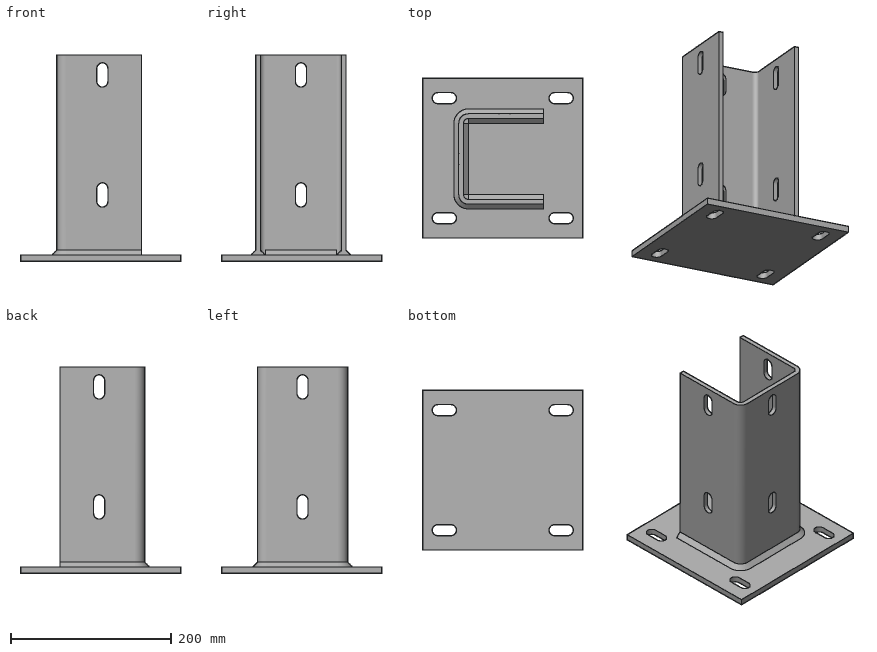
import cadquery as cq

PLATE_SIDE = 200.0
PLATE_THICKNESS = 8.0

SHEET_THICKNESS = 6.0
CHANNEL_HEIGHT = 250.0
CHANNEL_DEPTH = 106.0
CHANNEL_WIDTH = 113.0
BEND_OUTER_RADIUS = 12.0
BEND_INNER_RADIUS = BEND_OUTER_RADIUS - SHEET_THICKNESS
WEB_FACE_X = -55.0
CHANNEL_CENTER_Y = -1.0

WELD_LEG = 6.0

SLOT_LENGTH = 30.0
SLOT_WIDTH = 13.5
PLATE_SLOT_X = 73.0
PLATE_SLOT_Y = 75.0
FLANGE_SLOT_X = 2.0
WEB_SLOT_Y = CHANNEL_CENTER_Y
TOP_SLOT_DROP = 25.0
UPRIGHT_SLOT_PITCH = 150.0

FLANGE_END_X = WEB_FACE_X + CHANNEL_DEPTH
BEND_CENTER_X = WEB_FACE_X + BEND_OUTER_RADIUS
BEND_CENTER_OFFSET_Y = CHANNEL_WIDTH / 2 - BEND_OUTER_RADIUS
UPPER_SLOT_Z = PLATE_THICKNESS + CHANNEL_HEIGHT - TOP_SLOT_DROP
LOWER_SLOT_Z = UPPER_SLOT_Z - UPRIGHT_SLOT_PITCH


def make_plate():
    plate = cq.Workplane("XY").box(
        PLATE_SIDE, PLATE_SIDE, PLATE_THICKNESS, centered=(True, True, False)
    )
    slots = (
        cq.Workplane("XY")
        .rect(2 * PLATE_SLOT_X, 2 * PLATE_SLOT_Y, forConstruction=True)
        .vertices()
        .slot2D(SLOT_LENGTH, SLOT_WIDTH)
        .extrude(PLATE_THICKNESS)
    )
    return plate.cut(slots)


def make_block(inset, corner_radius):
    """Upright block inset from the channel's outer faces, rounded along its two web corners."""
    depth = CHANNEL_DEPTH - inset
    return (
        cq.Workplane("XY", origin=(FLANGE_END_X - depth / 2, CHANNEL_CENTER_Y, PLATE_THICKNESS))
        .rect(depth, CHANNEL_WIDTH - 2 * inset)
        .extrude(CHANNEL_HEIGHT)
        .edges("|Z and <X")
        .fillet(corner_radius)
    )


def make_channel():
    outside = make_block(0.0, BEND_OUTER_RADIUS)
    inside = make_block(SHEET_THICKNESS, BEND_INNER_RADIUS)
    return outside.cut(inside)


def weld_section(plane, inner_leg):
    """Cross-section of sheet and beads; local x runs outward from the bend axis."""
    return (
        cq.Workplane(plane)
        .moveTo(BEND_INNER_RADIUS - inner_leg, 0)
        .lineTo(BEND_OUTER_RADIUS + WELD_LEG, 0)
        .lineTo(BEND_OUTER_RADIUS, WELD_LEG)
        .lineTo(BEND_INNER_RADIUS, WELD_LEG)
        .close()
    )


def make_half_weld():
    """Weld along the +Y flange, round the outside of its bend and along half of the web."""
    bend_center = (BEND_CENTER_X, CHANNEL_CENTER_Y + BEND_CENTER_OFFSET_Y, PLATE_THICKNESS)
    flange_plane = cq.Plane(origin=bend_center, xDir=(0, 1, 0), normal=(1, 0, 0))
    web_plane = cq.Plane(origin=bend_center, xDir=(-1, 0, 0), normal=(0, 1, 0))

    flange = weld_section(flange_plane, WELD_LEG).extrude(FLANGE_END_X - BEND_CENTER_X)
    web = weld_section(web_plane, WELD_LEG).extrude(-BEND_CENTER_OFFSET_Y)
    bend = weld_section(flange_plane, 0).revolve(90, (0, 0), (0, 1))
    return flange.union(bend).union(web)


def make_weld():
    half = make_half_weld()
    return half.union(half.mirror("XZ", (0, CHANNEL_CENTER_Y, 0)))


def upright_slot(plane, across, z, reach):
    """Vertical slot cutter, extending the given distance to each side of the plane."""
    return (
        cq.Workplane(plane)
        .center(across, z)
        .slot2D(SLOT_LENGTH, SLOT_WIDTH, 90)
        .extrude(reach, both=True)
    )


def cut_upright_slots(body):
    for z in (LOWER_SLOT_Z, UPPER_SLOT_Z):
        body = body.cut(upright_slot("XZ", FLANGE_SLOT_X, z, CHANNEL_WIDTH))
        body = body.cut(upright_slot("YZ", WEB_SLOT_Y, z, CHANNEL_DEPTH))
    return body


upright = cut_upright_slots(make_channel())
result = make_plate().union(upright).union(make_weld())